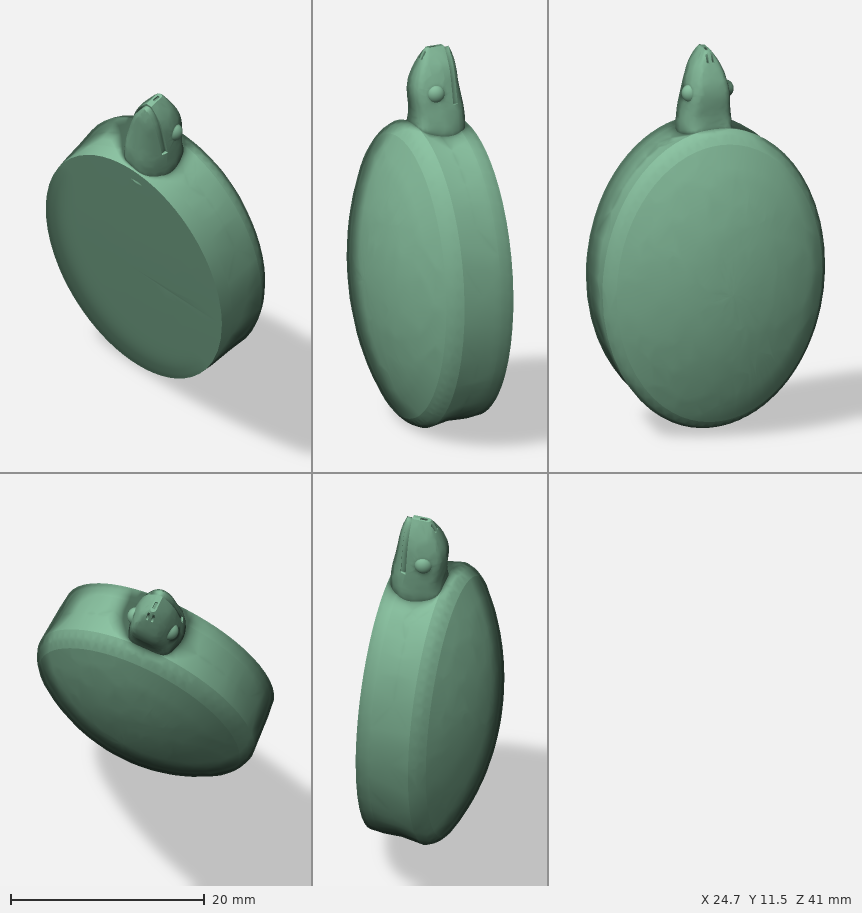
import cadquery as cq

RIM_HALF_WIDTH = 12.355
RIM_HALF_HEIGHT = 16.45
RIM_Y = 5.8
SHOULDER_HALF_WIDTH = 11.45
SHOULDER_Y = 7.45
SHOULDER_MID = (12.0, 6.72)
DOME_MID = (6.95, 10.05)
DOME_PEAK_Y = 11.35
FACE_BULGE = 0.12

RIM_LEVEL = (RIM_Y, RIM_HALF_WIDTH, RIM_HALF_HEIGHT)
WAIST_LEVEL = (3.6, 12.2, 16.02)
FRONT_LEVEL = (1.48, 12.05, 16.1)
FACE_LEVEL = (0.0, 11.9, 15.95)

HEAD_SECTIONS = [
    (14.42, 2.85, -0.1, 5.95),
    (16.0, 2.8, 0.25, 5.95),
    (18.75, 2.55, 0.55, 5.85),
    (20.75, 2.2, 0.9, 5.95),
    (22.7, 1.6, 1.2, 5.33),
    (23.7, 1.02, 1.48, 4.88),
    (24.55, 0.33, 1.9, 4.4),
]
HALF_OUTLINE = [(0.7, 0.1), (1.0, 0.35), (0.95, 0.7), (0.7, 0.95)]

EYE_RADIUS = 0.95
EYE_TIP_X = 2.83
EYE_Y = 4.15
EYE_Z = 20.1

MOUTH_Y = (1.8, 2.4)
MOUTH_CORNER_Z = 18.75
MOUTH_FLOOR = [(2.17, MOUTH_CORNER_Z), (1.8, 20.75), (1.23, 22.7)]
MOUTH_TIP_Z = 24.3
MOUTH_CUT_SIZE = 8.2

NOSTRIL_SIZE = (0.25, 0.57)
NOSTRIL_X = 0.3
NOSTRIL_Y = 4.8
NOSTRIL_FLOOR_Z = 23.35
NOSE_PIT_SIZE = (0.3, 0.78)
NOSE_PIT_Y = 3.6
NOSE_PIT_FLOOR_Z = 24.3
PIT_CUT_HEIGHT = 2.05


def ellipse_wire(level):
    """Ellipse in the XZ plane at a given y, its long axis along Z."""
    y, half_width, half_height = level
    return cq.Wire.makeEllipse(
        half_height, half_width, cq.Vector(0, y, 0), cq.Vector(0, 1, 0), cq.Vector(0, 0, 1)
    )


def side_solid(levels, ruled):
    """Solid with an elliptical outline that runs through the given levels."""
    return cq.Workplane(cq.Solid.makeLoft([ellipse_wire(level) for level in levels], ruled))


def stretched_revolve(profile, half_width, half_height):
    """Revolve a profile about Y and stretch it along Z into an elliptical shape."""
    turned = profile.close().revolve(360, (0, 0), (0, 1)).val()
    stretch = cq.Matrix([[1, 0, 0, 0], [0, 1, 0, 0], [0, 0, half_height / half_width, 0]])
    return cq.Workplane(turned.transformGeometry(stretch))


def make_dome():
    profile = (
        cq.Workplane("XY")
        .moveTo(0, RIM_Y)
        .lineTo(RIM_HALF_WIDTH, RIM_Y)
        .threePointArc(SHOULDER_MID, (SHOULDER_HALF_WIDTH, SHOULDER_Y))
        .threePointArc(DOME_MID, (0, DOME_PEAK_Y))
    )
    return stretched_revolve(profile, RIM_HALF_WIDTH, RIM_HALF_HEIGHT)


def make_face_bulge():
    """Very shallow swelling of the front face; so flat an arc keeps 3/4 of its rise halfway out."""
    face_y, half_width, half_height = FACE_LEVEL
    profile = (
        cq.Workplane("XY")
        .moveTo(0, face_y)
        .lineTo(half_width, face_y)
        .threePointArc((half_width / 2, face_y - FACE_BULGE * 3 / 4), (0, face_y - FACE_BULGE))
    )
    return stretched_revolve(profile, half_width, half_height)


def make_shell():
    waisted_side = side_solid([RIM_LEVEL, WAIST_LEVEL, FRONT_LEVEL], ruled=False)
    front_edge = side_solid([FRONT_LEVEL, FACE_LEVEL], ruled=True)
    return make_dome().union(waisted_side).union(front_edge).union(make_face_bulge())


def head_section(section):
    """Smooth closed outline across the head, symmetric about its middle."""
    z, half_width, front, back = section
    right_side = [
        (x_share * half_width, front + y_share * (back - front)) for x_share, y_share in HALF_OUTLINE
    ]
    left_side = [(-x, y) for x, y in reversed(right_side)]
    points = [(0, front), *right_side, (0, back), *left_side]
    return cq.Wire.assembleEdges([
        cq.Edge.makeSpline([cq.Vector(x, y, z) for x, y in points], periodic=True)
    ])


def make_eye(side):
    """Round eye standing out of one cheek; side is -1 or 1."""
    return cq.Workplane("XY", origin=(side * (EYE_TIP_X - EYE_RADIUS), EYE_Y, EYE_Z)).sphere(EYE_RADIUS)


def make_mouth():
    """Groove that follows the outline of the snout from one corner of the mouth to the other."""
    lower, upper = MOUTH_Y
    plane = cq.Workplane("XZ", origin=(0, upper, 0))
    slab = (
        plane.center(0, MOUTH_CORNER_Z + MOUTH_CUT_SIZE / 2)
        .rect(MOUTH_CUT_SIZE, MOUTH_CUT_SIZE)
        .extrude(upper - lower)
    )
    left_floor = [(-x, z) for x, z in reversed(MOUTH_FLOOR)]
    core = (
        plane.spline([*MOUTH_FLOOR, (0, MOUTH_TIP_Z), *left_floor])
        .close()
        .extrude(upper - lower)
    )
    return slab.cut(core)


def make_pit(x, y, floor_z, size):
    """Small rectangular pit, open upwards."""
    return cq.Workplane("XY", origin=(x, y, floor_z)).rect(*size).extrude(PIT_CUT_HEIGHT)


def make_head():
    head = cq.Workplane(cq.Solid.makeLoft([head_section(section) for section in HEAD_SECTIONS]))
    head = head.cut(make_mouth())
    for side in (-1, 1):
        head = head.union(make_eye(side))
        head = head.cut(make_pit(side * NOSTRIL_X, NOSTRIL_Y, NOSTRIL_FLOOR_Z, NOSTRIL_SIZE))
    return head.cut(make_pit(0, NOSE_PIT_Y, NOSE_PIT_FLOOR_Z, NOSE_PIT_SIZE))


head = make_head()
shell = make_shell().cut(head)

result = cq.Compound.makeCompound([shell.solids().val(), head.solids().val()])